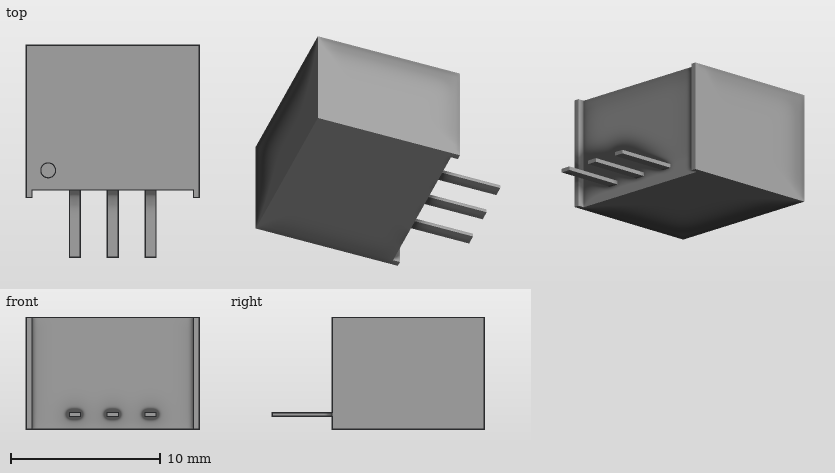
import cadquery as cq

housing_width = 11.6
housing_length = 10.2
housing_height = 7.5
lip_width = 0.4
lip_depth = 0.5

overall_length = 14.2
pin_count = 3
pin_pitch = 2.54
pin_width = 0.74
pin_thickness = 0.25
pin_center_height = 1.0

marker_diameter = 1.0
marker_depth = 0.1
marker_from_side = 1.48
marker_from_recess = 1.32

recess_y = lip_depth
pin_tip_y = housing_length - overall_length
pin_length = recess_y - pin_tip_y
marker_x = -housing_width / 2 + marker_from_side
marker_y = recess_y + marker_from_recess


def make_marker():
    """Disc whose upper face lies in the top face of the housing."""
    return (
        cq.Workplane("XY", origin=(marker_x, marker_y, housing_height - marker_depth))
        .circle(marker_diameter / 2)
        .extrude(marker_depth)
    )


def make_housing(marker):
    """Block with a full-height front recess and a seat for the marker."""
    block = cq.Workplane("XY").box(
        housing_width, housing_length, housing_height, centered=(True, False, False)
    )
    front_recess = cq.Workplane("XY").box(
        housing_width - 2 * lip_width, lip_depth, housing_height, centered=(True, False, False)
    )
    return block.cut(front_recess).cut(marker)


def make_pin(x):
    """Straight rectangular pin running from the recessed face to its tip."""
    return cq.Workplane("XY", origin=(x, pin_tip_y, pin_center_height)).box(
        pin_width, pin_length, pin_thickness, centered=(True, False, True)
    )


marker = make_marker()
housing = make_housing(marker)
pins = []
for index in range(pin_count):
    pin_x = (index - (pin_count - 1) / 2) * pin_pitch
    pins.append(make_pin(pin_x).val())

result = cq.Compound.makeCompound([housing.val(), marker.val(), *pins])